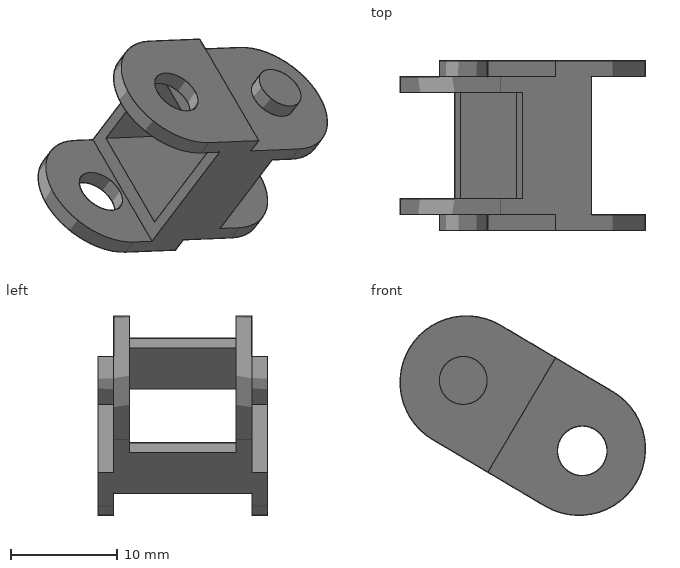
import cadquery as cq
import math

length_x = 23.12
width_y = 16.0
height_z = 18.8

end_radius = 6.27
plate_thickness = 1.5
pin_diameter = 4.5
hole_diameter = 4.65
pitch = 13.02
step_position = -0.12

web_start = -3.75
web_end = 3.81
web_thickness = 1.1

center_dx = length_x - 2 * end_radius
center_dz = height_z - 2 * end_radius
center_distance = math.hypot(center_dx, center_dz)
tilt = math.degrees(math.atan2(center_dz, center_dx))

outer_face = width_y / 2
step_face = outer_face - plate_thickness
inner_face = step_face - plate_thickness


def box_between(x_range, y_range, z_range):
    """Box spanning the given (low, high) range on each axis."""
    ranges = (x_range, y_range, z_range)
    size = [high - low for low, high in ranges]
    middle = [(high + low) / 2 for low, high in ranges]
    return cq.Workplane("XY").box(*size).translate(tuple(middle))


def cylinder_along_y(x, diameter, y_low, y_high):
    """Round bar parallel to Y, centred at the given place along the link."""
    return (
        cq.Workplane("XZ", origin=(x, y_high, 0))
        .circle(diameter / 2)
        .extrude(y_high - y_low)
    )


def plate(x_low, x_high, y_low, y_high):
    """Part of the rounded link outline lying between two cuts across the link."""
    outline = (
        cq.Workplane("XZ", origin=(0, y_high, 0))
        .slot2D(center_distance + 2 * end_radius, 2 * end_radius)
        .extrude(y_high - y_low)
    )
    keep = box_between((x_low, x_high), (y_low, y_high), (-end_radius, end_radius))
    return outline.intersect(keep)


half_length = center_distance / 2 + end_radius

link = box_between(
    (web_start, web_end), (-inner_face, inner_face), (end_radius - web_thickness, end_radius)
)
link = link.union(link.mirror("XY"))

near_side = (
    plate(-half_length, web_end, -step_face, -inner_face)
    .union(plate(step_position, half_length, -outer_face, -step_face))
    .union(cylinder_along_y(-pitch / 2, pin_diameter, -outer_face, -step_face))
    .cut(cylinder_along_y(pitch / 2, hole_diameter, -outer_face, -step_face))
)
link = link.union(near_side).union(near_side.mirror("XZ"))

result = link.rotate((0, 0, 0), (0, 1, 0), tilt)